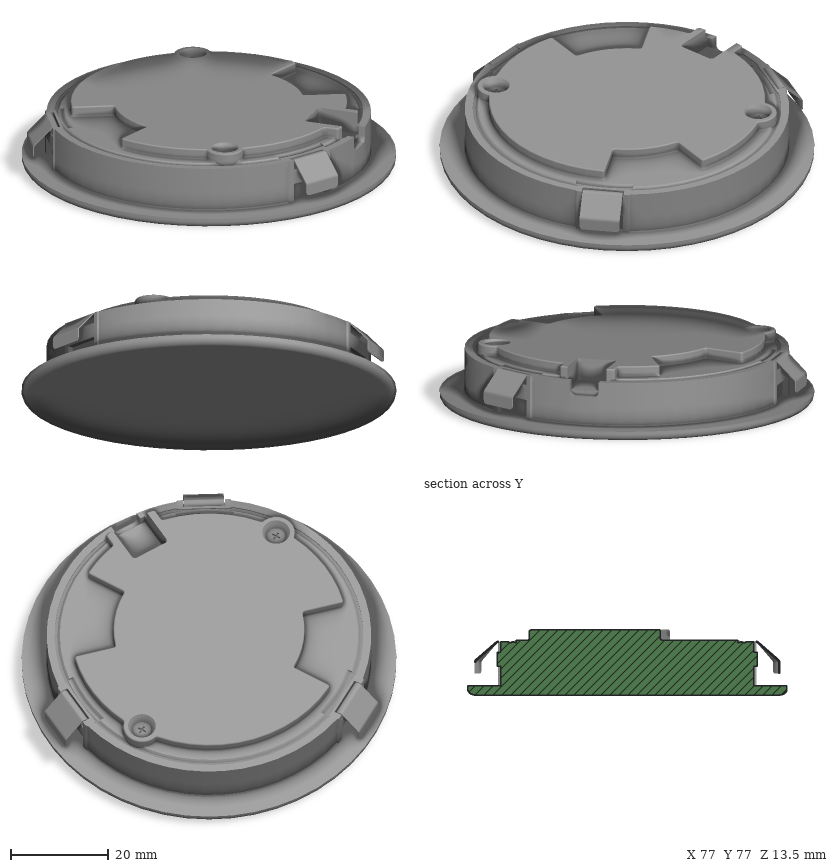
import cadquery as cq
import math

flange_radius = 38.5
flange_height = 2.0
flange_round = 1.4
body_radius = 33.35
body_top = 11.1
body_foot = 0.2

lid_top = 11.3
lid_radius = 31.1
lid_bevel = 0.5
groove_outer_radius = 31.7
groove_floor = 10.85
plateau_top = 13.5
plateau_radius = 28.4
plateau_reach = 31.3
plateau_corner_round = 0.55
plateau_top_round = 0.3
plateau_foot_round = 0.4

wedge_angle = 50.5
wedge_inner_radius = 19.6
wedge_inner_half_angle = 20.3
wedge_outer_half_angle = 21.2

screw_circle_radius = 27.4
screw_angle = 118.0
screw_boss_radius = 3.85
screw_hole_radius = 2.85
screw_head_radius = 1.9
screw_hole_depth = 1.55
screw_cross_depth = 0.4
screw_cross_length = 1.85
screw_cross_width = 0.4

pocket_start = 22.6
pocket_half_width = 4.15
pocket_floor = 8.9
pocket_corner_round = 0.8
pocket_wall = 1.7
outlet_half_width = 3.1
outlet_floor = 7.9
outlet_round = 1.1

clip_angles = (90, 210, 330)
seat_face = 33.2
seat_half_width = 5.4
seat_bevel = 0.3
seat_window_half_width = 4.3
seat_window_back = 31.6
lower_window_back = 31.95
lower_window_top = 5.9
clip_half_width = 4.15
clip_thickness = 0.2
clip_reach = 37.2
clip_tip = 4.5
clip_corner_round = 0.8
clip_bend_radius = 0.9
clip_bend_height = 6.7
crest_radius = 0.6
crest_flat = 0.2
leg_bend_radius = 1.0
crest_position = 32.9
clip_slope = 45.0
relief_half_width = 5.9
relief_inner = 29.65
relief_outer = 31.0
relief_wall_lean = 0.7

half_turn = (0, 180)
selection_margin = 0.01


def polar(radius, angle, center=(0.0, 0.0)):
    """Point at a radius and an angle in degrees about a centre."""
    turn = math.radians(angle)
    return (center[0] + radius * math.cos(turn), center[1] + radius * math.sin(turn))


def disc(radius, bottom, top):
    """Cylinder on the Z axis between two heights."""
    return cq.Workplane("XY").workplane(offset=bottom).circle(radius).extrude(top - bottom)


def block(x_range, half_width, z_range):
    """Box between two x and two z values, centred on y = 0."""
    size = (x_range[1] - x_range[0], 2 * half_width, z_range[1] - z_range[0])
    corner = (x_range[0], -half_width, z_range[0])
    return cq.Workplane("XY").box(*size, centered=False).translate(corner)


def turned(shape, angle):
    """Shape turned about the Z axis by an angle in degrees."""
    return shape.rotate((0, 0, 0), (0, 0, 1), angle)


def make_base():
    """Flange, body, rim groove and lid disc as one revolved profile."""
    return (
        cq.Workplane("XZ")
        .moveTo(0, 0)
        .lineTo(flange_radius - flange_round, 0)
        .radiusArc((flange_radius, flange_round), -flange_round)
        .lineTo(flange_radius, flange_height)
        .lineTo(body_radius + body_foot, flange_height)
        .lineTo(body_radius, flange_height + body_foot)
        .lineTo(body_radius, body_top)
        .lineTo(groove_outer_radius, body_top)
        .lineTo(groove_outer_radius, groove_floor)
        .lineTo(lid_radius, groove_floor)
        .lineTo(lid_radius - lid_bevel, lid_top)
        .lineTo(0, lid_top)
        .close()
        .revolve(360, (0, 0, 0), (0, 1, 0))
    )


def make_wedge(bottom, top):
    """Recess with an inner arc about the main axis and flaring sides, open past the plateau edge."""
    def side(sign):
        inner = polar(wedge_inner_radius, wedge_angle + sign * wedge_inner_half_angle)
        rim = polar(plateau_radius, wedge_angle + sign * wedge_outer_half_angle)
        beyond = (2 * rim[0] - inner[0], 2 * rim[1] - inner[1])
        return inner, beyond

    inner_start, outer_start = side(-1)
    inner_end, outer_end = side(1)
    return (
        cq.Workplane("XY")
        .workplane(offset=bottom)
        .moveTo(*outer_start)
        .lineTo(*inner_start)
        .threePointArc(polar(wedge_inner_radius, wedge_angle), inner_end)
        .lineTo(*outer_end)
        .close()
        .extrude(top - bottom)
    )


def make_plateau():
    """Raised plateau with rounded top edge and a rounded foot running into the lid."""
    root = groove_floor
    prism = disc(plateau_radius, root, plateau_top)
    for angle in half_turn:
        prism = prism.cut(turned(make_wedge(root, plateau_top), angle))
    surround_half_width = pocket_half_width + pocket_wall
    surround = block((pocket_start, plateau_reach), surround_half_width, (root, plateau_top))
    prism = prism.union(surround.intersect(disc(plateau_reach, root, plateau_top)))
    for angle in half_turn:
        x, y = polar(screw_circle_radius, screw_angle + angle)
        prism = prism.union(disc(screw_boss_radius, root, plateau_top).translate((x, y, 0)))
    prism = prism.edges("|Z").fillet(plateau_corner_round)
    prism = prism.faces(">Z").edges().fillet(plateau_top_round)

    sheet = disc(flange_radius, root, lid_top)
    footed = prism.union(sheet)
    foot_edges = cq.selectors.BoxSelector(
        (-body_radius, -body_radius, lid_top - selection_margin),
        (body_radius, body_radius, lid_top + selection_margin),
        boundingbox=True,
    )
    footed = footed.edges(foot_edges).fillet(plateau_foot_round)
    return footed.intersect(disc(lid_radius - lid_bevel, root, plateau_top)).union(prism)


def make_screw_hole():
    """Tapered hole down to the screw head, with a cross recess in the head, on the Z axis."""
    head_top = plateau_top - screw_hole_depth
    hole = (
        cq.Workplane("XZ")
        .moveTo(0, head_top)
        .lineTo(screw_head_radius, head_top)
        .lineTo(screw_hole_radius, plateau_top)
        .lineTo(0, plateau_top)
        .close()
        .revolve(360, (0, 0, 0), (0, 1, 0))
    )
    half_length = screw_cross_length / 2
    slot = block((-half_length, half_length), screw_cross_width / 2, (head_top - screw_cross_depth, head_top))
    for angle in (0, 90):
        hole = hole.union(turned(slot, angle + screw_angle))
    return hole


def make_cable_pocket():
    """Pocket in the plateau with a round-bottomed outlet through the rim."""
    pocket = block((pocket_start, groove_outer_radius), pocket_half_width, (pocket_floor, plateau_top))
    pocket = pocket.edges("|Z and <X").fillet(pocket_corner_round)
    outlet = block((groove_outer_radius, flange_radius), outlet_half_width, (outlet_floor, plateau_top))
    outlet = outlet.edges("|X and <Z").fillet(outlet_round)
    return pocket.union(outlet)


def make_seat():
    """Flat pad on the body wall behind a clip, facing +X."""
    width = seat_half_width + seat_bevel
    return (
        cq.Workplane("XY")
        .workplane(offset=flange_height)
        .polyline([
            (relief_outer, -width),
            (seat_face - seat_bevel, -width),
            (seat_face, -seat_half_width),
            (seat_face, seat_half_width),
            (seat_face - seat_bevel, width),
            (relief_outer, width),
        ])
        .close()
        .extrude(body_top - flange_height)
    )


def make_lid_relief():
    """Short groove set inwards beside a clip, with the lid edge behind it lowered to the rim."""
    ring = (
        cq.Workplane("XZ")
        .moveTo(relief_inner, lid_top)
        .lineTo(relief_inner + lid_bevel, groove_floor)
        .lineTo(relief_outer - relief_wall_lean, groove_floor)
        .lineTo(relief_outer, body_top)
        .lineTo(groove_outer_radius, body_top)
        .lineTo(groove_outer_radius, lid_top)
        .close()
        .revolve(360, (0, 0, 0), (0, 1, 0))
    )
    return ring.intersect(block((0, flange_radius), relief_half_width, (groove_floor, lid_top)))


def make_seat_cuts():
    """Upper slot, lower window, flat face and lid relief of one clip seat."""
    upper = block((seat_window_back, flange_radius), seat_window_half_width, (pocket_floor, lid_top))
    lower_heights = (flange_height, lower_window_top)
    lower = block((lower_window_back, flange_radius), seat_window_half_width, lower_heights)
    beyond_face = block((seat_face, flange_radius), seat_half_width, (flange_height, lid_top))
    return upper.union(lower).union(beyond_face).union(make_lid_relief())


def make_clip():
    """Bent strip: leg in the seat slot, rounded crest, slope outwards, upright tip."""
    bend = (clip_reach - clip_bend_radius, clip_bend_height)
    below_bend = polar(clip_bend_radius - crest_radius, clip_slope, bend)
    slope_rise = (below_bend[0] - crest_position) / math.tan(math.radians(clip_slope))
    crest = (crest_position, below_bend[1] + slope_rise)

    leg_bend = (crest[0] - crest_flat, crest[1] + crest_radius - leg_bend_radius)

    straight_up = 90
    inwards = 180

    def arc(center, radius, start, end):
        return [polar(radius, angle, center) for angle in (start, (start + end) / 2, end)]

    def side(inset):
        """Arcs of one face of the strip: tip bend, crest and leg bend."""
        return (
            arc(bend, clip_bend_radius - inset, 0, clip_slope),
            arc(crest, crest_radius - inset, clip_slope, straight_up),
            arc(leg_bend, leg_bend_radius - inset, straight_up, inwards),
        )

    outline = cq.Workplane("XZ").moveTo(clip_reach, clip_tip)
    for start, middle, end in side(0):
        outline = outline.lineTo(*start).threePointArc(middle, end)
    leg = leg_bend[0] - leg_bend_radius
    outline = outline.lineTo(leg, pocket_floor).lineTo(leg + clip_thickness, pocket_floor)
    for start, middle, end in reversed(side(clip_thickness)):
        outline = outline.lineTo(*end).threePointArc(middle, start)
    outline = outline.lineTo(clip_reach - clip_thickness, clip_tip).close()
    strip = outline.extrude(clip_half_width, both=True)
    return strip.edges("|X and <Z").fillet(clip_corner_round)


result = make_base().union(make_plateau())
for angle in half_turn:
    x, y = polar(screw_circle_radius, screw_angle + angle)
    result = result.cut(make_screw_hole().translate((x, y, 0)))
for angle in clip_angles:
    result = result.union(turned(make_seat(), angle))
    result = result.cut(turned(make_seat_cuts(), angle))
    result = result.union(turned(make_clip(), angle))
result = result.cut(make_cable_pocket())